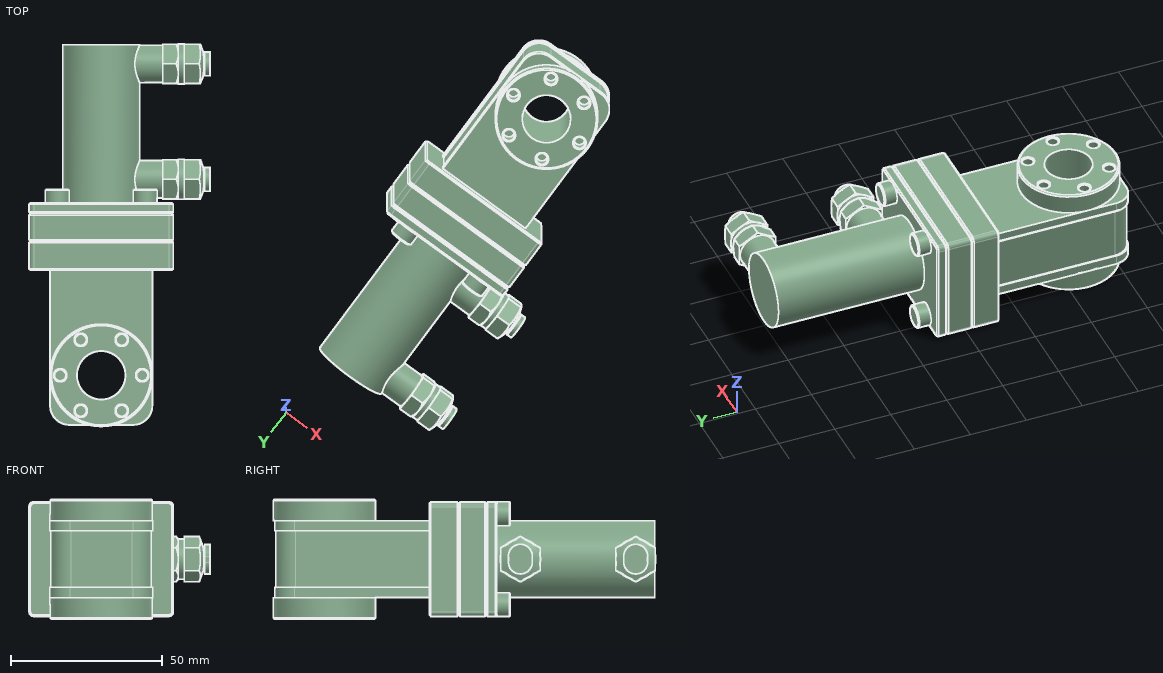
import cadquery as cq
import math


flange_diameter = 33.78
flange_thickness = 7.11
flange_chamfer = 0.5
bore_diameter = 15.9
bolt_circle_diameter = 27.0
flange_hole_count = 6
flange_hole_diameter = 3.7
flange_hole_mouth_diameter = 4.4
flange_hole_chamfer = (flange_hole_mouth_diameter - flange_hole_diameter) / 2

body_height = 25.4
body_width = 33.8
body_front_y = -16.4
body_corner_radius = 6.5
cover_thickness = 3.4
core_inset = 0.35

bonnet_width = 47.6
bonnet_height = 37.8
bonnet_start_y = 34.6
front_block_length = 9.6
middle_block_length = 9.1
back_plate_length = 3.5
bonnet_corner_radius = 1.6
bonnet_chamfer = 0.5

screw_head_diameter = 7.9
screw_head_height = 4.5
screw_head_chamfer = 0.4
screw_spacing_x = 29.0
screw_spacing_z = 30.0

actuator_diameter = 25.4
actuator_end_y = 108.9

nut_across_flats = 13.0
nut_across_corners = nut_across_flats / math.cos(math.pi / 6)
fitting_upper_y = 102.57
fitting_spacing = 38.0
stub_diameter = 12.4
stub_end_x = 20.25
inner_nut_end_x = 25.4
inner_nut_chamfer_length = 0.7
washer_diameter = 13.3
washer_end_x = 27.3
cone_start_x = 32.3
cone_end_x = 33.7
cone_end_diameter = 7.6
neck_diameter = 5.7
release_start_x = 34.1
release_end_x = 35.85
release_width = 7.9
release_height = 9.8

half_body = body_height / 2
bonnet_end_y = bonnet_start_y + front_block_length + middle_block_length + back_plate_length


def rod_along_y(diameter, start_y, length):
    plane = cq.Workplane("XZ", origin=(0, start_y, 0))
    return plane.circle(diameter / 2).extrude(-length)


def rod_along_x(diameter, start_x, end_x):
    plane = cq.Workplane("YZ", origin=(start_x, 0, 0))
    return plane.circle(diameter / 2).extrude(end_x - start_x)


def body_layer(inset, bottom_z, height):
    front_y = body_front_y + inset
    length = bonnet_start_y - front_y
    block = cq.Workplane("XY").box(body_width - 2 * inset, length, height, centered=(True, False, False))
    return block.translate((0, front_y, bottom_z)).edges("|Z and <Y").fillet(body_corner_radius)


def make_body():
    core = body_layer(core_inset, -half_body, body_height)
    lower_cover = body_layer(0, -half_body, cover_thickness)
    upper_cover = body_layer(0, half_body - cover_thickness, cover_thickness)
    return core.union(lower_cover).union(upper_cover)


def make_flange():
    top_z = half_body + flange_thickness
    flange = cq.Workplane("XY", origin=(0, 0, half_body)).circle(flange_diameter / 2).extrude(flange_thickness)
    flange = flange.faces(">Z").edges().chamfer(flange_chamfer)
    holes = (
        cq.Workplane("XY", origin=(0, 0, top_z))
        .polarArray(bolt_circle_diameter / 2, 0, 360, flange_hole_count)
        .circle(flange_hole_diameter / 2)
        .extrude(-flange_thickness)
    )
    mouths = (
        cq.Workplane("XY", origin=(0, 0, top_z))
        .polarArray(bolt_circle_diameter / 2, 0, 360, flange_hole_count)
        .circle(flange_hole_mouth_diameter / 2)
        .extrude(-flange_hole_chamfer, taper=45)
    )
    return flange.cut(holes).cut(mouths)


def bonnet_block(start_y, length):
    block = cq.Workplane("XY").box(bonnet_width, length, bonnet_height, centered=(True, False, True))
    block = block.edges("|Y").fillet(bonnet_corner_radius)
    return block.faces("<Y or >Y").edges().chamfer(bonnet_chamfer).translate((0, start_y, 0))


def make_bonnet():
    bonnet = bonnet_block(bonnet_start_y, front_block_length)
    next_y = bonnet_start_y + front_block_length
    for length in (middle_block_length, back_plate_length):
        bonnet = bonnet.union(bonnet_block(next_y, length))
        next_y += length
    return bonnet


def make_screw_heads():
    head = rod_along_y(screw_head_diameter, bonnet_end_y, screw_head_height)
    head = head.faces(">Y").edges().chamfer(screw_head_chamfer)
    heads = cq.Workplane("XY")
    for side_x in (-1, 1):
        for side_z in (-1, 1):
            heads = heads.add(head.translate((side_x * screw_spacing_x / 2, 0, side_z * screw_spacing_z / 2)))
    return heads.combine()


def hex_nut(start_x, end_x, chamfer_length, end_diameter):
    """Hexagon along X, corners up and down, turned to a cone at its outer end."""
    corner_radius = nut_across_corners / 2
    hexagon = (
        cq.Workplane("YZ", origin=(start_x, 0, 0))
        .transformed(rotate=(0, 0, 90))
        .polygon(6, nut_across_corners)
        .extrude(end_x - start_x)
    )
    turned_profile = [
        (start_x, 0),
        (start_x, corner_radius),
        (end_x - chamfer_length, corner_radius),
        (end_x, end_diameter / 2),
        (end_x, 0),
    ]
    turned = cq.Workplane("XY").polyline(turned_profile).close().revolve(360, (0, 0, 0), (1, 0, 0))
    return hexagon.intersect(turned)


def make_fitting():
    fitting = rod_along_x(stub_diameter, 0, stub_end_x)
    inner_nut = hex_nut(stub_end_x, inner_nut_end_x, inner_nut_chamfer_length, nut_across_flats)
    washer = rod_along_x(washer_diameter, inner_nut_end_x, washer_end_x)
    outer_nut = hex_nut(washer_end_x, cone_end_x, cone_end_x - cone_start_x, cone_end_diameter)
    neck = rod_along_x(neck_diameter, cone_end_x, release_start_x)
    release_ring = (
        cq.Workplane("YZ", origin=(release_start_x, 0, 0))
        .slot2D(release_height, release_width, 90)
        .extrude(release_end_x - release_start_x)
    )
    for piece in (inner_nut, washer, outer_nut, neck, release_ring):
        fitting = fitting.union(piece)
    return fitting


flange = make_flange()
actuator = rod_along_y(actuator_diameter, bonnet_end_y, actuator_end_y - bonnet_end_y)
fitting = make_fitting()
bore = cq.Workplane("XY").circle(bore_diameter / 2).extrude(half_body + flange_thickness, both=True)

result = make_body().union(flange).union(flange.mirror("XY")).cut(bore)
result = result.union(make_bonnet()).union(make_screw_heads()).union(actuator)
for fitting_y in (fitting_upper_y, fitting_upper_y - fitting_spacing):
    result = result.union(fitting.translate((0, fitting_y, 0)))